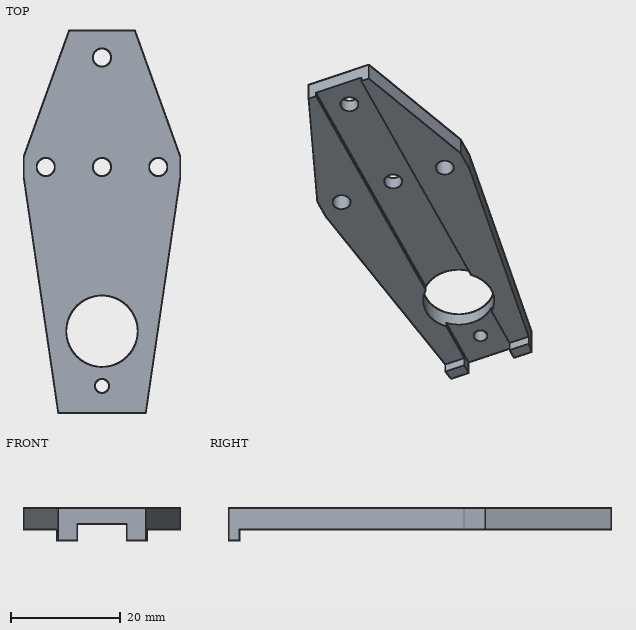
import cadquery as cq

length = 70.0
max_width = 28.6
front_width = 16.0
back_width = 12.05
waist_front_y = 43.0
waist_back_y = 47.0
thickness = 4.0

total_height = 6.0
foot_length = 2.0

channel_width = 9.0
channel_ceiling_depth = 3.0

screw_diameter = 3.3
screw_row_y = 45.0
screw_spacing = 10.3
back_screw_y = 65.0
bore_diameter = 13.0
bore_y = 15.0
pin_diameter = 2.5
pin_y = 5.0


def tapered_block(height):
    """Extrude the plate outline downward from the top face."""
    right_side = [
        (front_width / 2, 0),
        (max_width / 2, waist_front_y),
        (max_width / 2, waist_back_y),
        (back_width / 2, length),
    ]
    left_side = [(-x, y) for x, y in reversed(right_side)]
    return cq.Workplane("XY").polyline(right_side + left_side).close().extrude(-height)


def through_holes(diameter, centers):
    """Cutters reaching through the full height."""
    return cq.Workplane("XY").pushPoints(centers).circle(diameter / 2).extrude(-total_height)


plate = tapered_block(thickness)

foot_zone = cq.Workplane("XY").box(
    max_width, foot_length, total_height, centered=(True, False, False)
).translate((0, 0, -total_height))
front_feet = tapered_block(total_height).intersect(foot_zone)

channel = cq.Workplane("XY").box(
    channel_width, length, total_height - channel_ceiling_depth, centered=(True, False, False)
).translate((0, 0, -total_height))

screw_centers = [
    (-screw_spacing, screw_row_y),
    (0, screw_row_y),
    (screw_spacing, screw_row_y),
    (0, back_screw_y),
]

result = (
    plate.union(front_feet)
    .cut(channel)
    .cut(through_holes(screw_diameter, screw_centers))
    .cut(through_holes(bore_diameter, [(0, bore_y)]))
    .cut(through_holes(pin_diameter, [(0, pin_y)]))
)